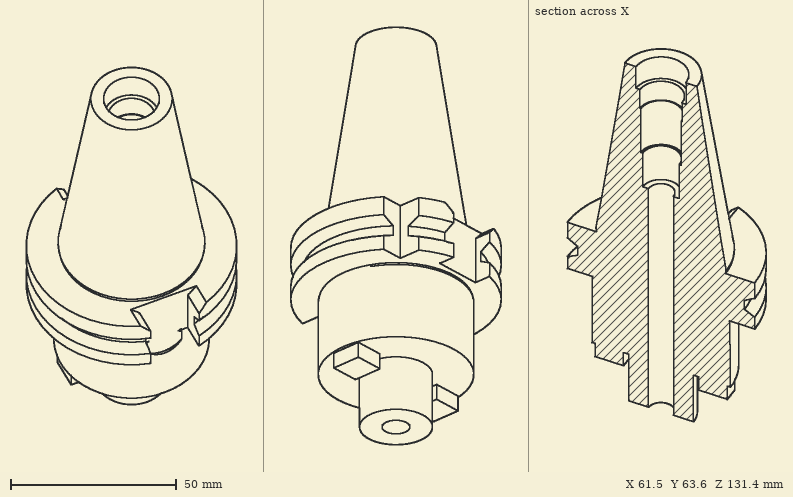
import cadquery as cq

total_height = 131.4
body_bottom = 18.1
lug_bottom = 13.0
body_top = 43.1
flange_bottom = 43.9
lower_rim_top = 48.6
groove_bottom = 50.5
groove_top = 53.7
upper_rim_bottom = 55.8
flange_top = 62.0
taper_bottom = 63.3

pilot_radius = 11.0
body_radius = 23.5
body_neck_radius = 23.3
flange_radius = 31.8
groove_radius = 28.4
taper_neck_radius = 22.0
taper_radius = 22.2
taper_slope = 7 / 48

mouth_radius = 8.4
mouth_depth = 8.4
thread_entry_radius = 7.1
thread_entry_depth = 15.8
thread_radius = 6.8
thread_depth = 32.8
step_radius = 6.2
step_depth = 46.0
through_radius = 4.2

slot_width = 16.2
slot_chamfer = 2.9
slot_runout = 7.1
left_slot_floor = -25.1
right_slot_floor = 22.7
notch_offset = 18.4
lug_width = 10.0
lug_inner = 12.7
lug_outer = 22.5


def box(x_range, y_range, z_range):
    """Axis-aligned block between pairs of limits."""
    (x0, x1), (y0, y1), (z0, z1) = x_range, y_range, z_range
    return cq.Workplane("XY").box(x1 - x0, y1 - y0, z1 - z0, centered=False).translate((x0, y0, z0))


def turned_blank():
    """Pilot, body, grooved flange and taper in one revolve."""
    tip_radius = taper_radius - taper_slope * (total_height - taper_bottom)
    profile = [
        (0, 0),
        (pilot_radius, 0),
        (pilot_radius, body_bottom),
        (body_radius, body_bottom),
        (body_radius, body_top),
        (body_neck_radius, flange_bottom),
        (flange_radius, flange_bottom),
        (flange_radius, lower_rim_top),
        (groove_radius, groove_bottom),
        (groove_radius, groove_top),
        (flange_radius, upper_rim_bottom),
        (flange_radius, flange_top),
        (taper_neck_radius, flange_top),
        (taper_radius, taper_bottom),
        (tip_radius, total_height),
        (0, total_height),
    ]
    return cq.Workplane("XZ").polyline(profile).close().revolve(360, (0, 0), (0, 1))


def bore():
    """Mouth, thread with a wider entry, inner step and through hole."""
    mouth_floor = total_height - mouth_depth
    entry_floor = total_height - thread_entry_depth
    thread_floor = total_height - thread_depth
    step_floor = total_height - step_depth
    profile = [
        (0, 0),
        (through_radius, 0),
        (through_radius, step_floor),
        (step_radius, step_floor),
        (step_radius, thread_floor),
        (thread_radius, thread_floor),
        (thread_radius, entry_floor),
        (thread_entry_radius, entry_floor),
        (thread_entry_radius, mouth_floor),
        (mouth_radius, mouth_floor),
        (mouth_radius, total_height),
        (0, total_height),
    ]
    return cq.Workplane("XZ").polyline(profile).close().revolve(360, (0, 0), (0, 1))


def drive_slot(x_start, x_end):
    """Slot with a round lower end and chamfered upper edges."""
    half = slot_width / 2
    wide_half = half + slot_chamfer
    slot_end = flange_bottom - slot_runout
    edge_bottom = flange_top - slot_chamfer
    return (
        cq.Workplane("YZ", origin=(x_start, 0, 0))
        .moveTo(-half, slot_end + half)
        .threePointArc((0, slot_end), (half, slot_end + half))
        .lineTo(half, edge_bottom)
        .lineTo(wide_half, flange_top)
        .lineTo(-wide_half, flange_top)
        .lineTo(-half, edge_bottom)
        .close()
        .extrude(x_end - x_start)
    )


def orientation_notch():
    """Square corner cut through the flange at -X, +Y."""
    return box(
        (-flange_radius, -notch_offset),
        (notch_offset, flange_radius),
        (flange_bottom, flange_top),
    )


result = turned_blank()
for lug_y in [(-lug_outer, -lug_inner), (lug_inner, lug_outer)]:
    lug = box((-lug_width / 2, lug_width / 2), lug_y, (lug_bottom, body_bottom))
    result = result.union(lug)

result = (
    result.cut(drive_slot(-flange_radius, left_slot_floor))
    .cut(drive_slot(right_slot_floor, flange_radius))
    .cut(orientation_notch())
    .cut(bore())
)